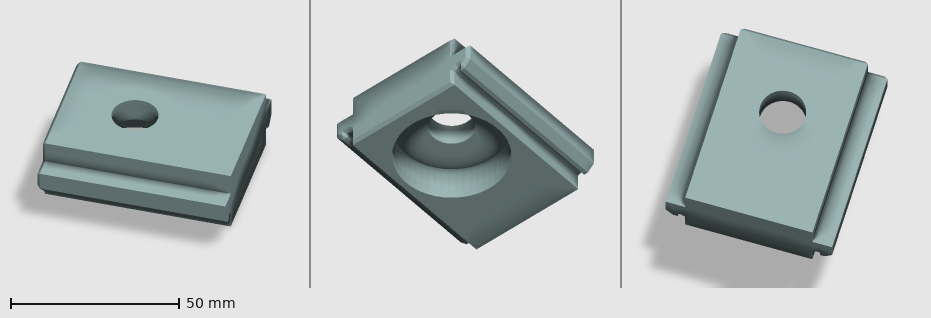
import cadquery as cq
import math

front_length = 23.25
back_length = 35.0
body_width = 39.5
body_height = 19.5
end_chamfer = 1.0

overall_width = 51.7
wing_top_z = 12.65
lip_bottom_z = 4.6
lip_bevel = 2.35
lip_flat = 1.42
groove_roof_z = 6.45
groove_roof_width = 0.95
groove_slope = math.radians(30)

bore_diameter = 14.0
recess_diameter = 35.5
recess_depth = 12.0


def half_outline():
    """(y, z) points of the +Y half of the cross-section, from bottom to top."""
    body_y = body_width / 2
    wing_y = overall_width / 2
    lip_outer_y = wing_y - lip_bevel
    lip_inner_y = lip_outer_y - lip_flat
    roof_end_y = lip_inner_y - groove_roof_width
    groove_root_z = groove_roof_z - (roof_end_y - body_y) * math.tan(groove_slope)
    return [
        (body_y, 0),
        (body_y, groove_root_z),
        (roof_end_y, groove_roof_z),
        (lip_inner_y, groove_roof_z),
        (lip_inner_y, lip_bottom_z),
        (lip_outer_y, lip_bottom_z),
        (wing_y, lip_bottom_z + lip_bevel),
        (wing_y, wing_top_z),
        (body_y, wing_top_z),
        (body_y, body_height),
    ]


def make_body():
    """Extruded cross-section with its whole -X end outline chamfered."""
    right_side = half_outline()
    left_side = [(-y, z) for y, z in reversed(right_side)]
    body = (
        cq.Workplane("YZ", origin=(-front_length, 0, 0))
        .polyline(right_side + left_side)
        .close()
        .extrude(front_length + back_length)
    )
    return body.faces("<X").chamfer(end_chamfer)


def cut_bore(body):
    """Through bore opening into a wider round recess in the underside."""
    bore = cq.Workplane("XY").circle(bore_diameter / 2).extrude(body_height)
    recess = cq.Workplane("XY").circle(recess_diameter / 2).extrude(recess_depth)
    return body.cut(bore).cut(recess)


result = cut_bore(make_body())